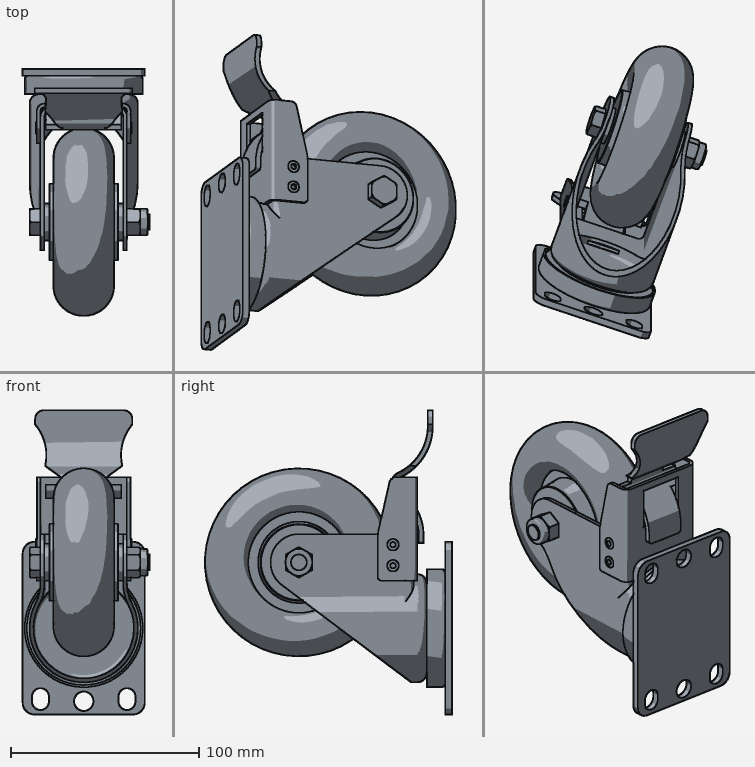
import cadquery as cq
import math


WHEEL_RADIUS = 50.0
TYRE_HALF_WIDTH = 16.2
GROOVE_OUTER_RADIUS = 34.2
GROOVE_INNER_RADIUS = 26.9
GROOVE_ROUND = GROOVE_OUTER_RADIUS - GROOVE_INNER_RADIUS
WEB_HALF_WIDTH = 6.5
HUB_BASE_RADIUS = 21.7
HUB_RADIUS = 20.4
HUB_HALF_WIDTH = 18.3
HUB_LIP_WIDTH = 2.3
HUB_EDGE_CHAMFER = 0.3

PLATE_BACK_Y = 81.5
PLATE_THICKNESS = 3.7
PLATE_FRONT_Y = PLATE_BACK_Y - PLATE_THICKNESS
PLATE_WIDTH = 65.1
PLATE_HEIGHT = 92.0
PLATE_CORNER = 6.5
SWIVEL_Z = -35.0
SLOT_WIDTH = 8.9
SLOT_HEIGHT = 11.5
SLOT_X = 23.0
SLOT_RISE = 37.7
CENTRE_HOLE_DIAMETER = 10.2
CENTRE_HOLE_RISE = 38.9
BEARING_RADIUS = 31.5
BEARING_FRONT_Y = 68.0
BEARING_ROUND = 1.8
BEARING_LIP = 1.1
BEARING_RECESS_DEPTH = 0.8

FORK_THICKNESS = 2.1
LEG_OUTER_X = 23.0
LEG_END_RADIUS = 15.0
CROWN_RADIUS = 28.8
CROWN_ROUND = 5.0
CROWN_BOTTOM_Y = 59.8
CHANNEL_BACK_Y = 61.0
CHANNEL_BEND = 4.9
FLARE_TOP_Z = -11.2
FORK_FRONT_Y = -24.3

SPACER_RADIUS = 9.9
HEX_ACROSS_FLATS = 14.1
HEX_CHAMFER = 0.6
BOLT_HEAD_HEIGHT = 5.8
NUT_HEIGHT = 7.0
NUT_COLLAR_RADIUS = 7.1
NUT_COLLAR_END_X = 34.0
NUT_COLLAR_ROUND = 1.0
BOLT_TIP_RADIUS = 4.2
BOLT_TIP_X = 35.0

BRACKET_THICKNESS = 2.0
BRACKET_OUTER_X = LEG_OUTER_X + BRACKET_THICKNESS
BRACKET_BACK_Y = CHANNEL_BACK_Y + BRACKET_THICKNESS
BRACKET_BEND = 4.0
BRACKET_TOP_Z = 45.4
BRACKET_BOTTOM_Z = -9.7
BRACKET_TOP_FRONT_Y = 48.8
BRACKET_FRONT_Y = 42.0
BRACKET_KINK_Z = 15.2
BRACKET_KINK_RADIUS = 19.5
BRACKET_TOP_CORNER = 3.5
BRACKET_BOTTOM_CORNER = 2.0
WINDOW_HALF_WIDTH = 12.2
WINDOW_BOTTOM_Z = 19.6
WINDOW_TOP_Z = 41.3
RIVET_Y = 50.0
RIVET_ZS = (9.4, -1.8)
RIVET_RADIUS = 3.0
RIVET_HOLE_RADIUS = 1.5
RIVET_HEIGHT = 0.5
RIVET_EDGE_ROUND = 0.3
RIVET_HOLE_DEPTH = 2.0

SHEET = 2.8
PEDAL_BACK_Y = 71.3
PEDAL_TOP_Z = 81.0
BLADE_BEND_Z = 72.4
BLADE_RADIUS = 27.4
BLADE_SWEEP = math.radians(64.7)
CURL_RADIUS = 6.8
TAIL_RADIUS = 28.4
TAIL_BACK_Y = 66.5
TAIL_END_Z = 10.2
TAIL_CORNER = 2.0
PEDAL_HALF_WIDTH = 26.0
PEDAL_CORNER = 4.9
PEDAL_SIDE_END_Z = 73.4
WAIST_HALF_WIDTH = 20.0
WAIST_Z = 56.7
SHOULDER_HALF_WIDTH = 20.5
SHOULDER_Z = 51.4
NECK_HALF_WIDTH = 11.2
NECK_TOP_Z = 44.5
TAB_HALF_WIDTH = 20.1
TAB_TOP_Z = 41.3
TAB_BOTTOM_Z = 34.2


def ring_point(centre, radius, angle):
    """Point at an angle from +Y toward +Z on a circle in the YZ plane."""
    return (centre[0] + radius * math.cos(angle), centre[1] + radius * math.sin(angle))


def box_between(low, high):
    """Box from its lowest corner to its highest corner."""
    size = [b - a for a, b in zip(low, high)]
    return cq.Workplane("XY").box(*size, centered=False).translate(low)


def disc_y(radius, back_y, front_y, z):
    """Cylinder along Y between two Y positions."""
    return cq.Workplane("XZ", origin=(0, back_y, z)).circle(radius).extrude(back_y - front_y)


def rod_x(radius, start_x, end_x):
    """Cylinder on the wheel axle."""
    return cq.Workplane("YZ", origin=(start_x, 0, 0)).circle(radius).extrude(end_x - start_x)


def make_wheel():
    """Tyre, web and hub, turned about the axle."""
    round_centre_x = TYRE_HALF_WIDTH - GROOVE_ROUND
    groove_slant = GROOVE_ROUND * math.sqrt(0.5)
    groove_middle = (round_centre_x + groove_slant, GROOVE_OUTER_RADIUS - groove_slant)
    hub_profile = [
        (WEB_HALF_WIDTH, GROOVE_INNER_RADIUS),
        (WEB_HALF_WIDTH, HUB_BASE_RADIUS),
        (HUB_HALF_WIDTH - HUB_LIP_WIDTH, HUB_RADIUS),
        (HUB_HALF_WIDTH - HUB_EDGE_CHAMFER, HUB_RADIUS),
        (HUB_HALF_WIDTH, HUB_RADIUS - HUB_EDGE_CHAMFER),
        (HUB_HALF_WIDTH, 0),
    ]
    mirrored_hub_profile = [(-x, radius) for x, radius in reversed(hub_profile)]
    return (
        cq.Workplane("XY")
        .moveTo(-TYRE_HALF_WIDTH, GROOVE_OUTER_RADIUS)
        .threePointArc((0, WHEEL_RADIUS), (TYRE_HALF_WIDTH, GROOVE_OUTER_RADIUS))
        .threePointArc(groove_middle, (round_centre_x, GROOVE_INNER_RADIUS))
        .polyline(hub_profile + mirrored_hub_profile, includeCurrent=True)
        .lineTo(-round_centre_x, GROOVE_INNER_RADIUS)
        .threePointArc((-groove_middle[0], groove_middle[1]), (-TYRE_HALF_WIDTH, GROOVE_OUTER_RADIUS))
        .close()
        .revolve(360, (0, 0, 0), (1, 0, 0))
    )


def make_plate():
    """Rounded mounting plate with a row of three holes at each end."""
    plate = (
        cq.Workplane("XZ", origin=(0, PLATE_BACK_Y, SWIVEL_Z))
        .rect(PLATE_WIDTH, PLATE_HEIGHT)
        .extrude(PLATE_THICKNESS)
        .edges("|Y")
        .fillet(PLATE_CORNER)
    )
    slot_places = [(x, z) for x in (-SLOT_X, SLOT_X) for z in (-SLOT_RISE, SLOT_RISE)]
    face = cq.Workplane("XZ", origin=(0, PLATE_BACK_Y, SWIVEL_Z))
    slots = face.pushPoints(slot_places).slot2D(SLOT_HEIGHT, SLOT_WIDTH, 90).extrude(PLATE_THICKNESS)
    hole_places = [(0, -CENTRE_HOLE_RISE), (0, CENTRE_HOLE_RISE)]
    holes = face.pushPoints(hole_places).circle(CENTRE_HOLE_DIAMETER / 2).extrude(PLATE_THICKNESS)
    return plate.cut(slots).cut(holes)


def make_bearing():
    """Swivel bearing disc with a thin lip around a shallow ring recess."""
    disc = disc_y(BEARING_RADIUS, PLATE_FRONT_Y, BEARING_FRONT_Y, SWIVEL_Z)
    disc = disc.faces(">Y").edges().fillet(BEARING_ROUND)
    recess_back_y = BEARING_FRONT_Y + BEARING_RECESS_DEPTH
    recess = disc_y(BEARING_RADIUS - BEARING_LIP, recess_back_y, BEARING_FRONT_Y, SWIVEL_Z)
    seat = disc_y(CROWN_RADIUS - CROWN_ROUND, recess_back_y, BEARING_FRONT_Y, SWIVEL_Z)
    return disc.cut(recess.cut(seat))


def crown_block(inset):
    """Round crown with a rounded back edge, shrunk inward by an inset."""
    block = disc_y(CROWN_RADIUS - inset, BEARING_FRONT_Y - inset, FORK_FRONT_Y, SWIVEL_Z)
    return block.faces(">Y").edges().fillet(CROWN_ROUND - inset)


def channel_block(inset):
    """Upright channel whose sides flare out to meet the crown, shrunk inward by an inset."""
    flare_rise = FLARE_TOP_Z - SWIVEL_Z
    flare_radius = (LEG_OUTER_X**2 + flare_rise**2 - CROWN_RADIUS**2) / (2 * (CROWN_RADIUS - LEG_OUTER_X))
    centre_x = LEG_OUTER_X + flare_radius
    contact_angle = math.atan2(flare_rise, centre_x)
    radius = flare_radius + inset

    def flare_point(angle):
        return (centre_x - radius * math.cos(angle), FLARE_TOP_Z - radius * math.sin(angle))

    leg_x = LEG_OUTER_X - inset
    middle = flare_point(contact_angle / 2)
    end = flare_point(contact_angle)
    block = (
        cq.Workplane("XZ", origin=(0, CHANNEL_BACK_Y - inset, 0))
        .moveTo(leg_x, LEG_END_RADIUS)
        .lineTo(leg_x, FLARE_TOP_Z)
        .threePointArc(middle, end)
        .lineTo(-end[0], end[1])
        .threePointArc((-middle[0], middle[1]), (-leg_x, FLARE_TOP_Z))
        .lineTo(-leg_x, LEG_END_RADIUS)
        .close()
        .extrude(CHANNEL_BACK_Y - inset - FORK_FRONT_Y)
    )
    return block.faces(">Y").edges("not |X").fillet(CHANNEL_BEND - inset)


def fork_side_shape():
    """Prism across X with the side outline: round leg ends and a slanted lower edge."""
    bottom_z = SWIVEL_Z - CROWN_RADIUS
    distance = math.hypot(CROWN_BOTTOM_Y, bottom_z)
    tangent_angle = math.atan2(bottom_z, CROWN_BOTTOM_Y) - math.acos(LEG_END_RADIUS / distance)
    tangent = ring_point((0, 0), LEG_END_RADIUS, tangent_angle)
    return (
        cq.Workplane("YZ")
        .moveTo(BEARING_FRONT_Y, LEG_END_RADIUS)
        .lineTo(0, LEG_END_RADIUS)
        .threePointArc((-LEG_END_RADIUS, 0), tangent)
        .lineTo(CROWN_BOTTOM_Y, bottom_z)
        .lineTo(BEARING_FRONT_Y, bottom_z)
        .close()
        .extrude(CROWN_RADIUS, both=True)
    )


def make_fork():
    """Pressed sheet fork: a round crown that narrows into two flat legs."""
    outside = crown_block(0).union(channel_block(0))
    inside_crown = crown_block(FORK_THICKNESS)
    inside_channel = channel_block(FORK_THICKNESS)
    return outside.cut(inside_crown).cut(inside_channel).intersect(fork_side_shape())


def hexagon(start_x, end_x, chamfered_side):
    """Hexagon on the axle, corners turned off at one end, with a corner pointing up."""
    corner_diameter = HEX_ACROSS_FLATS / math.cos(math.pi / 6)
    prism = (
        cq.Workplane("YZ", origin=(start_x, 0, 0))
        .transformed(rotate=(0, 0, 90))
        .polygon(6, corner_diameter)
        .extrude(end_x - start_x)
    )
    turned = rod_x(corner_diameter / 2, start_x, end_x).faces(chamfered_side).chamfer(HEX_CHAMFER)
    return prism.intersect(turned)


def make_axle():
    """Spacers, bolt head and lock nut on the axle."""
    leg_inner_x = LEG_OUTER_X - FORK_THICKNESS
    axle = rod_x(SPACER_RADIUS, -leg_inner_x, leg_inner_x)
    axle = axle.union(hexagon(-LEG_OUTER_X - BOLT_HEAD_HEIGHT, -LEG_OUTER_X, "<X"))
    nut_end_x = LEG_OUTER_X + NUT_HEIGHT
    collar = rod_x(NUT_COLLAR_RADIUS, nut_end_x, NUT_COLLAR_END_X).faces(">X").fillet(NUT_COLLAR_ROUND)
    shank = rod_x(BOLT_TIP_RADIUS, -LEG_OUTER_X, BOLT_TIP_X)
    return axle.union(shank).union(hexagon(LEG_OUTER_X, nut_end_x, ">X")).union(collar)


def bracket_block(inset):
    """Upright block with rounded back corners, shrunk inward by an inset."""
    half_width = BRACKET_OUTER_X - inset
    low = (-half_width, BRACKET_FRONT_Y, BRACKET_BOTTOM_Z)
    high = (half_width, BRACKET_BACK_Y - inset, BRACKET_TOP_Z)
    return box_between(low, high).edges("|Z and >Y").fillet(BRACKET_BEND - inset)


def make_bracket():
    """U-shaped pedal bracket around the fork, with a window in its back wall."""
    side = (
        cq.Workplane("YZ")
        .moveTo(BRACKET_BACK_Y, BRACKET_BOTTOM_Z)
        .lineTo(BRACKET_BACK_Y, BRACKET_TOP_Z)
        .lineTo(BRACKET_TOP_FRONT_Y, BRACKET_TOP_Z)
        .lineTo(BRACKET_FRONT_Y, BRACKET_KINK_Z)
        .lineTo(BRACKET_FRONT_Y, BRACKET_BOTTOM_Z)
        .close()
        .extrude(BRACKET_OUTER_X, both=True)
    )
    top_corner = cq.selectors.NearestToPointSelector((0, BRACKET_TOP_FRONT_Y, BRACKET_TOP_Z))
    bottom_corner = cq.selectors.NearestToPointSelector((0, BRACKET_FRONT_Y, BRACKET_BOTTOM_Z))
    kink = cq.selectors.NearestToPointSelector((0, BRACKET_FRONT_Y, BRACKET_KINK_Z))
    side = side.edges("|X").edges(kink).fillet(BRACKET_KINK_RADIUS)
    side = side.edges("|X").edges(top_corner).fillet(BRACKET_TOP_CORNER)
    side = side.edges("|X").edges(bottom_corner).fillet(BRACKET_BOTTOM_CORNER)
    window = box_between(
        (-WINDOW_HALF_WIDTH, CHANNEL_BACK_Y - BRACKET_THICKNESS, WINDOW_BOTTOM_Z),
        (WINDOW_HALF_WIDTH, BRACKET_BACK_Y, WINDOW_TOP_Z),
    )
    return bracket_block(0).cut(bracket_block(BRACKET_THICKNESS)).intersect(side).cut(window)


def rivet_cylinders(radius, start_x, length):
    """Cylinders along X at the rivet places on both sides."""
    places = cq.Workplane("YZ", origin=(start_x, 0, 0)).pushPoints([(RIVET_Y, z) for z in RIVET_ZS])
    cylinders = places.circle(radius).extrude(length)
    return cylinders.union(cylinders.mirror("YZ"))


def make_rivets():
    """Rivet heads, two on each side of the bracket, with rounded rims."""
    heads = rivet_cylinders(RIVET_RADIUS, BRACKET_OUTER_X, RIVET_HEIGHT)
    return heads.faces("<X or >X").edges().fillet(RIVET_EDGE_ROUND)


def make_rivet_holes():
    """Blind holes in the rivet heads."""
    hole_end_x = BRACKET_OUTER_X + RIVET_HEIGHT
    return rivet_cylinders(RIVET_HOLE_RADIUS, hole_end_x - RIVET_HOLE_DEPTH, RIVET_HOLE_DEPTH)


def make_caster():
    """Everything but the pedal, joined into one solid."""
    caster = make_plate()
    for piece in (make_bearing(), make_fork(), make_bracket(), make_rivets(), make_wheel(), make_axle()):
        caster = caster.union(piece)
    return caster.cut(make_rivet_holes())


def pedal_sheet():
    """Bent sheet of full width: flat top, blade curve, forward curl and tail curve."""
    blade_centre = (PEDAL_BACK_Y - SHEET - BLADE_RADIUS, BLADE_BEND_Z)
    curl_centre = ring_point(blade_centre, BLADE_RADIUS + CURL_RADIUS, -BLADE_SWEEP)
    tail_centre_y = TAIL_BACK_Y - TAIL_RADIUS
    tail_reach = TAIL_RADIUS - SHEET + CURL_RADIUS
    tail_sweep = math.acos((curl_centre[0] - tail_centre_y) / tail_reach)
    tail_centre = (tail_centre_y, curl_centre[1] - tail_reach * math.sin(tail_sweep))

    curl_start = math.pi - BLADE_SWEEP
    curl_end = math.pi + tail_sweep
    curl_middle = (curl_start + curl_end) / 2
    tail_front = TAIL_RADIUS - SHEET
    blade_back = BLADE_RADIUS + SHEET
    curl_back = CURL_RADIUS - SHEET
    return (
        cq.Workplane("YZ")
        .moveTo(PEDAL_BACK_Y - SHEET, PEDAL_TOP_Z)
        .lineTo(PEDAL_BACK_Y - SHEET, BLADE_BEND_Z)
        .threePointArc(
            ring_point(blade_centre, BLADE_RADIUS, -BLADE_SWEEP / 2),
            ring_point(blade_centre, BLADE_RADIUS, -BLADE_SWEEP),
        )
        .threePointArc(
            ring_point(curl_centre, CURL_RADIUS, curl_middle),
            ring_point(curl_centre, CURL_RADIUS, curl_end),
        )
        .threePointArc(
            ring_point(tail_centre, tail_front, tail_sweep / 2),
            ring_point(tail_centre, tail_front, 0),
        )
        .lineTo(TAIL_BACK_Y - SHEET, TAIL_END_Z)
        .lineTo(TAIL_BACK_Y, TAIL_END_Z)
        .lineTo(TAIL_BACK_Y, tail_centre[1])
        .threePointArc(
            ring_point(tail_centre, TAIL_RADIUS, tail_sweep / 2),
            ring_point(tail_centre, TAIL_RADIUS, tail_sweep),
        )
        .threePointArc(
            ring_point(curl_centre, curl_back, curl_middle),
            ring_point(curl_centre, curl_back, curl_start),
        )
        .threePointArc(
            ring_point(blade_centre, blade_back, -BLADE_SWEEP / 2),
            ring_point(blade_centre, blade_back, 0),
        )
        .lineTo(PEDAL_BACK_Y, PEDAL_TOP_Z)
        .close()
        .extrude(PEDAL_HALF_WIDTH, both=True)
    )


def blade_shape():
    """Prism along Y with the blade outline: wide top, curved waist and narrow neck."""
    half = (
        cq.Workplane("XZ", origin=(0, PEDAL_BACK_Y, 0))
        .moveTo(0, PEDAL_TOP_Z)
        .lineTo(PEDAL_HALF_WIDTH, PEDAL_TOP_Z)
        .lineTo(PEDAL_HALF_WIDTH, PEDAL_SIDE_END_Z)
        .threePointArc((WAIST_HALF_WIDTH, WAIST_Z), (SHOULDER_HALF_WIDTH, SHOULDER_Z))
        .lineTo(NECK_HALF_WIDTH, NECK_TOP_Z)
        .lineTo(NECK_HALF_WIDTH, TAB_TOP_Z)
        .lineTo(0, TAB_TOP_Z)
        .close()
        .extrude(PEDAL_BACK_Y - BRACKET_FRONT_Y)
    )
    middle_y = (PEDAL_BACK_Y + BRACKET_FRONT_Y) / 2
    top_corner = cq.selectors.NearestToPointSelector((PEDAL_HALF_WIDTH, middle_y, PEDAL_TOP_Z))
    half = half.edges("|Y").edges(top_corner).fillet(PEDAL_CORNER)
    return half.union(half.mirror("YZ"))


def make_pedal():
    """Pedal: blade with a neck, two tabs beside the curl and a narrow tail through the window."""
    sheet = pedal_sheet()
    blade = sheet.intersect(blade_shape())
    tab_space = box_between(
        (-TAB_HALF_WIDTH, BRACKET_FRONT_Y, TAB_BOTTOM_Z),
        (TAB_HALF_WIDTH, PEDAL_BACK_Y, TAB_TOP_Z),
    )
    tail_space = box_between(
        (-NECK_HALF_WIDTH, BRACKET_FRONT_Y, TAIL_END_Z),
        (NECK_HALF_WIDTH, PEDAL_BACK_Y, TAB_TOP_Z),
    )
    tail = sheet.intersect(tail_space).edges("|Y and <Z").fillet(TAIL_CORNER)
    return blade.union(sheet.intersect(tab_space)).union(tail)


caster = make_caster()
pedal = make_pedal()

result = cq.Compound.makeCompound([caster.solids().val(), pedal.solids().val()])